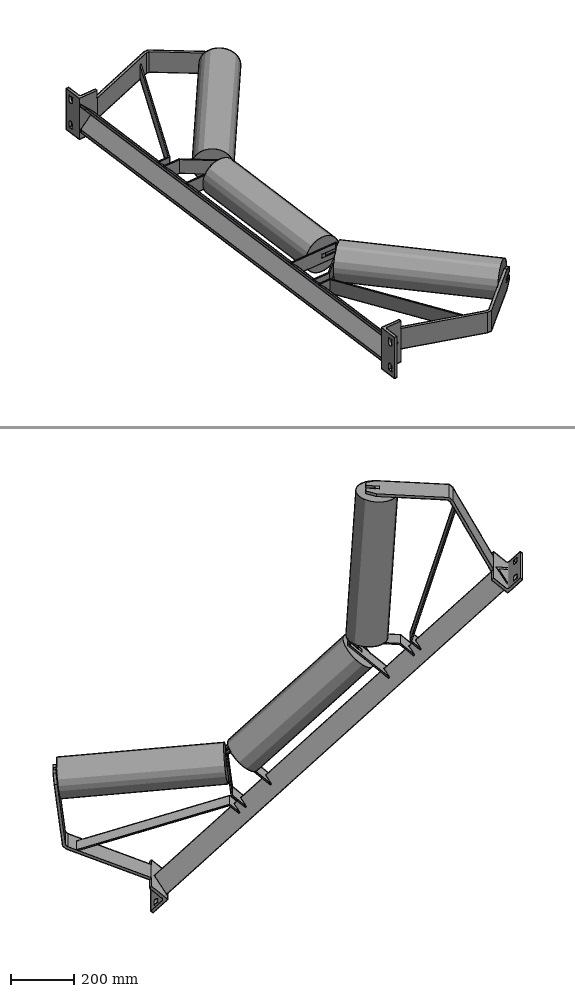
import cadquery as cq
import math


half_width = 888.0

beam_height = 55.0
beam_toe_y = 5.0
leg_thickness = 8.0
root_radius = 10.0
heel_radius = 5.0

plate_thickness = 10.0
foot_height = 160.0
foot_tip_x = 849.0
foot_plate_x = 790.0
foot_depth = 71.0
foot_bend_radius = 7.0
slot_width = 16.0
slot_length = 27.0
slot_x = 825.0
slot_z = 48.0
arm_width = 80.0
arm_tip_chamfer_length = 34.0
arm_tip_chamfer_width = 15.0
arm_tip_across = 35.0
elbow_flat = 16.0

bar_thickness = 5.0
bar_width = 53.0
strut_foot_x = 414.0
strut_bend_y = 78.0
strut_slope = 27.4
support_foot_x = 389.0
support_top_y = 213.0

roller_radius = 66.5
roller_length = 531.0
roller_gap = 4.0
arm_gap = 5.0
shaft_side = 15.0
level_roller_y = 162.0
trough_angle = 40.0
wing_rise = 10.0
wing_inner_x = 323.0
total_depth = 572.0

cos_trough = math.cos(math.radians(trough_angle))
sin_trough = math.sin(math.radians(trough_angle))
wing_plan_length = math.sqrt(roller_length**2 - wing_rise**2)
wing_outer_x = wing_inner_x + wing_plan_length * cos_trough
wing_outer_y = total_depth - roller_radius * cos_trough


def wing_point(along, across):
    """Plan point on the left: distances along the wing axis from its outer end and up across it."""
    x = -wing_outer_x + along * cos_trough + across * sin_trough
    y = wing_outer_y - along * sin_trough + across * cos_trough
    return (x, y)


def offset_path(path, distance):
    """Shift an open plan path to the right of its direction, with mitred corners."""
    headings = [math.atan2(b[1] - a[1], b[0] - a[0]) for a, b in zip(path, path[1:])]
    shifted = []
    for index, (x, y) in enumerate(path):
        before = headings[max(index - 1, 0)]
        after = headings[min(index, len(headings) - 1)]
        middle = (before + after) / 2
        reach = distance / math.cos((after - before) / 2)
        shifted.append((x + reach * math.sin(middle), y - reach * math.cos(middle)))
    return shifted


def bent_bar(path, thickness, width, middle_z):
    """Flat bar whose left face follows a plan path, with its width along Z."""
    outline = path + offset_path(path, thickness)[::-1]
    bar = cq.Workplane("XY").polyline(outline).close().extrude(width / 2, both=True)
    return bar.translate((0, 0, middle_z))


def mirrored(body):
    return body.mirror("YZ")


def wedge(height, edge_radius):
    """Prism along the beam with 45-degree flanks rising from the toe plane to a rounded edge."""
    triangle = cq.Workplane("YZ").polyline([(0, -height), (height, 0), (0, height)]).close()
    prism = triangle.extrude(foot_plate_x, both=True).edges("|X and >Y").fillet(edge_radius)
    return prism.translate((0, beam_toe_y, 0))


beam_envelope = wedge(beam_height, heel_radius)
crossbeam = beam_envelope.cut(wedge(beam_height - leg_thickness * math.sqrt(2), root_radius))


def axis_frame(outer_end, inner_end, lift):
    """Frame at the first roller end: X along the axis, Z out through the shaft slots."""
    axis = cq.Vector(*inner_end) - cq.Vector(*outer_end)
    return cq.Plane(outer_end, axis.toTuple(), lift).location


def roller(length, start_reach, end_reach, frame):
    """Roller barrel with shaft ends that project by the given reaches."""
    barrel = cq.Workplane("YZ").circle(roller_radius).extrude(length)
    shaft = cq.Workplane("YZ").workplane(offset=-start_reach).rect(shaft_side, shaft_side)
    shaft = shaft.extrude(start_reach + length + end_reach)
    return cq.Workplane(barrel.union(shaft).val().moved(frame))


def shaft_slot(first, last, depth, frame):
    """Cutter for an open shaft slot between two places along a roller axis."""
    cutter = cq.Workplane("XY").box(last - first, shaft_side, depth, centered=(False, True, False))
    return cq.Workplane(cutter.translate((first, 0, -shaft_side / 2)).val().moved(frame))


arm_reach = arm_gap + plate_thickness
support_reach = roller_gap + bar_thickness
half_level = roller_length / 2

wing_frame = axis_frame(
    (-wing_outer_x, wing_outer_y, wing_rise),
    (*wing_point(wing_plan_length, 0), 0),
    (sin_trough, cos_trough, 0),
)
level_frame = axis_frame((-half_level, level_roller_y, 0), (half_level, level_roller_y, 0), (0, 1, 0))
wing_roller = roller(roller_length, arm_reach, support_reach, wing_frame)
level_roller = roller(roller_length, support_reach, support_reach, level_frame)


def foot():
    """L-shaped foot with two bolt slots, square at the outer end and round at the inner end."""
    outline = [
        (-foot_tip_x, 0),
        (plate_thickness - foot_plate_x, 0),
        (plate_thickness - foot_plate_x, foot_depth),
        (-foot_plate_x, foot_depth),
        (-foot_plate_x, plate_thickness),
        (-foot_tip_x, plate_thickness),
    ]
    bend = cq.NearestToPointSelector((-foot_plate_x, plate_thickness, 0))
    body = cq.Workplane("XY").polyline(outline).close().extrude(foot_height / 2, both=True)
    body = body.edges(bend).fillet(foot_bend_radius)
    inner_z = slot_z - slot_length / 2 + slot_width / 2
    outer_z = slot_z + slot_length / 2
    for side in (1, -1):
        slot = (
            cq.Workplane("XZ")
            .moveTo(-slot_x - slot_width / 2, side * outer_z)
            .lineTo(-slot_x - slot_width / 2, side * inner_z)
            .threePointArc(
                (-slot_x, side * (inner_z - slot_width / 2)),
                (-slot_x + slot_width / 2, side * inner_z),
            )
            .lineTo(-slot_x + slot_width / 2, side * outer_z)
            .close()
            .extrude(-plate_thickness)
        )
        body = body.cut(slot)
    return body


arm_tip = wing_point(-arm_reach, arm_tip_across)
elbow_top_y = arm_tip[1] - (half_width + arm_tip[0]) / math.tan(math.radians(trough_angle))
elbow_low_y = elbow_top_y - elbow_flat
arm_path = [
    (-foot_plate_x, 0),
    (-foot_plate_x, foot_depth),
    (-half_width, elbow_low_y),
    (-half_width, elbow_top_y),
    arm_tip,
]


def arm():
    """Bent arm with chamfered tip corners and an open slot for the wing shaft."""
    bar = bent_bar(arm_path, plate_thickness, arm_width, wing_rise)
    tip_face = bar.faces(cq.DirectionMinMaxSelector(cq.Vector(sin_trough, cos_trough, 0)))
    bar = tip_face.edges("not |Z").chamfer(arm_tip_chamfer_length, arm_tip_chamfer_width)
    slot = shaft_slot(-2 * arm_reach, 0, roller_radius, wing_frame)
    return bar.cut(slot)


def strut():
    """Flat bar from the lower arm, sloping down to a short upright foot on the crossbeam."""
    slope = math.tan(math.radians(strut_slope))
    run = half_width - strut_foot_x
    path = [
        (-half_width, strut_bend_y + run * slope),
        (-strut_foot_x, strut_bend_y),
        (-strut_foot_x, beam_toe_y),
    ]
    return bent_bar(path, bar_thickness, bar_width, 0)


def outside_arm():
    """Everything to the left of the arm's inner face, up to the elbow."""
    inner = offset_path(arm_path, plate_thickness)[:4]
    corners = inner + [(-2 * half_width, inner[-1][1]), (-2 * half_width, 0)]
    return cq.Workplane("XY").polyline(corners).close().extrude(foot_height, both=True)


trimmed_strut = strut().cut(outside_arm()).cut(beam_envelope)
side_bracket = foot().union(arm()).union(trimmed_strut).cut(crossbeam)


def inner_support():
    face_x, face_y = wing_point(wing_plan_length + roller_gap, 0)
    lean = math.tan(math.radians(trough_angle))
    path = [
        (-support_foot_x, beam_toe_y),
        (-support_foot_x, face_y + (-support_foot_x - face_x) / lean),
        (face_x + (support_top_y - face_y) * lean, support_top_y),
        (-half_level - roller_gap, support_top_y),
        (-half_level - roller_gap, beam_toe_y),
    ]
    bar = bent_bar(path, bar_thickness, bar_width, 0)
    wing_slot = shaft_slot(roller_length, roller_length + 2 * support_reach, roller_radius, wing_frame)
    level_slot = shaft_slot(-2 * support_reach, 0, roller_radius, level_frame)
    return bar.cut(wing_slot).cut(level_slot).cut(beam_envelope)


support = inner_support()

result = cq.Compound.makeCompound([
    crossbeam.val(),
    level_roller.val(),
    wing_roller.val(),
    mirrored(wing_roller).val(),
    side_bracket.val(),
    mirrored(side_bracket).val(),
    support.val(),
    mirrored(support).val(),
])